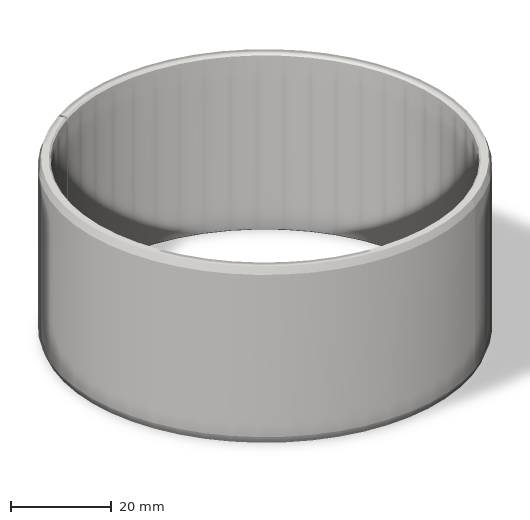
import cadquery as cq

outer_diameter = 90.0
length = 40.0
wall = 2.5
outer_chamfer_height = 1.6
outer_chamfer_depth = 0.6
inner_chamfer = 0.4
split_width = 0.7

outer_radius = outer_diameter / 2
inner_radius = outer_radius - wall
half_length = length / 2


def bushing_ring():
    """Revolve the wall section, with its chamfered rims, about Z."""
    section = [
        (inner_radius, -half_length + inner_chamfer),
        (inner_radius + inner_chamfer, -half_length),
        (outer_radius - outer_chamfer_depth, -half_length),
        (outer_radius, -half_length + outer_chamfer_height),
        (outer_radius, half_length - outer_chamfer_height),
        (outer_radius - outer_chamfer_depth, half_length),
        (inner_radius + inner_chamfer, half_length),
        (inner_radius, half_length - inner_chamfer),
    ]
    return cq.Workplane("XZ").polyline(section).close().revolve(360, (0, 0), (0, 1))


def split_cutter():
    """Slab through the wall on the -X side, with one face on the XZ plane."""
    return cq.Workplane("XY").box(
        outer_radius, split_width, length, centered=(False, False, True)
    ).translate((-outer_radius, 0, 0))


result = bushing_ring().cut(split_cutter())